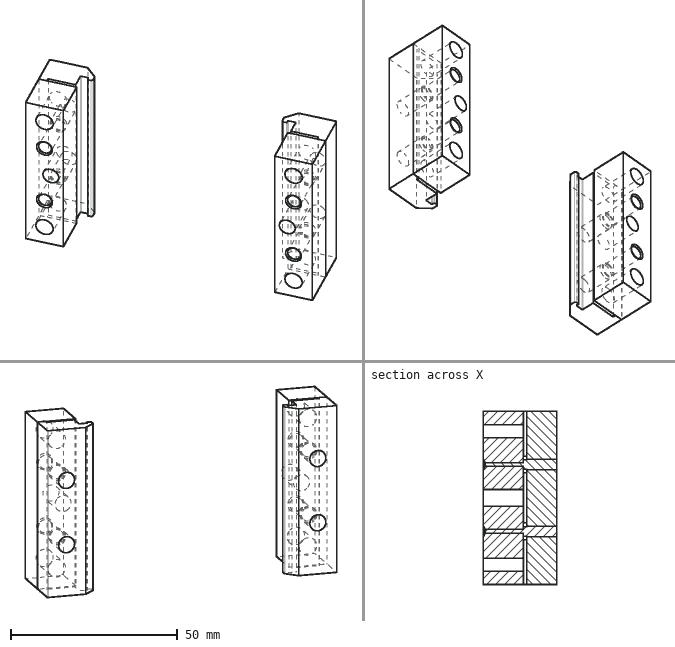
import cadquery as cq

SPAN = 91.0
LENGTH = 52.0

BLOCK_WIDTH = 12.0
BLOCK_DEPTH = 12.0
DOWEL_HOLE_DIA = 5.5
DOWEL_HOLE_RISE = 20.0
CENTRE_HOLE_DIA = 5.0
CENTRE_HOLE_SHIFT = 2.0

CLAMP_DEPTH = 10.0
CLAMP_REACH = 15.5
NECK_WIDTH = 11.4
FOOT_WIDTH = 2.6
GAP = 1.0
SLOT_ROOF_DEPTH = 4.55
LIP_DEPTH = 5.55
LIP_WIDTH = 1.55
LIP_ROUND = 0.55
EDGE_ROUND = 0.2

SHANK_DIA = 5.0
THREAD_DIA = 4.1
SCREW_RISE = 10.0

OUTER_X = -SPAN / 2
MID_X = OUTER_X + BLOCK_WIDTH / 2
JOINT_Y = BLOCK_DEPTH
BACK_Y = BLOCK_DEPTH + CLAMP_DEPTH
HALF_LENGTH = LENGTH / 2
COUNTERSINK_DEPTH = (SHANK_DIA - THREAD_DIA) / 2


def rod(diameter, x, z, y_start, y_end):
    """Cylinder parallel to Y."""
    axis_start = cq.Vector(x, y_start, z)
    solid = cq.Solid.makeCylinder(diameter / 2, y_end - y_start, axis_start, cq.Vector(0, 1, 0))
    return cq.Workplane(obj=solid)


def screw_countersink(z):
    """Cone opening from the thread diameter to the shank diameter at the block front."""
    mouth = cq.Vector(MID_X, 0, z)
    solid = cq.Solid.makeCone(SHANK_DIA / 2, THREAD_DIA / 2, COUNTERSINK_DEPTH, mouth, cq.Vector(0, 1, 0))
    return cq.Workplane(obj=solid)


def make_block():
    """Left block: square bar with two end holes, an offset middle hole and two countersunk screw holes."""
    block = cq.Workplane().box(BLOCK_WIDTH, BLOCK_DEPTH, LENGTH, centered=(False, False, True))
    block = block.translate((OUTER_X, 0, 0))
    for side in (-1, 1):
        block = block.cut(rod(DOWEL_HOLE_DIA, MID_X, side * DOWEL_HOLE_RISE, 0, JOINT_Y))
        block = block.cut(rod(THREAD_DIA, MID_X, side * SCREW_RISE, 0, JOINT_Y))
        block = block.cut(screw_countersink(side * SCREW_RISE))
    return block.cut(rod(CENTRE_HOLE_DIA, MID_X + CENTRE_HOLE_SHIFT, 0, 0, JOINT_Y))


def round_corners(bar, corners, radius):
    """Fillet the full-length edges of a bar that stand on the given XY corners."""
    for x, y in corners:
        bar = bar.edges(cq.NearestToPointSelector((x, y, 0))).fillet(radius)
    return bar


def make_clamp():
    """Left clamp, a hooked bar: foot on the block, neck above the gap, lip reaching inward."""
    foot_x = OUTER_X + FOOT_WIDTH
    neck_x = OUTER_X + NECK_WIDTH
    tip_x = OUTER_X + CLAMP_REACH
    lip_x = tip_x - LIP_WIDTH
    bevel = CLAMP_REACH - BLOCK_WIDTH
    neck_y = JOINT_Y + GAP
    lip_y = BACK_Y - LIP_DEPTH
    roof_y = BACK_Y - SLOT_ROOF_DEPTH
    profile = [
        (OUTER_X, JOINT_Y),
        (foot_x, JOINT_Y),
        (foot_x, neck_y),
        (neck_x, neck_y),
        (neck_x, roof_y),
        (lip_x, roof_y),
        (lip_x, lip_y),
        (tip_x, lip_y),
        (tip_x, BACK_Y - bevel),
        (tip_x - bevel, BACK_Y),
        (OUTER_X, BACK_Y),
    ]
    small_rounds = [
        (OUTER_X, JOINT_Y),
        (foot_x, JOINT_Y),
        (neck_x, roof_y),
        (lip_x, roof_y),
        (lip_x, lip_y),
        (OUTER_X, BACK_Y),
    ]
    lip_rounds = [(tip_x, lip_y), (tip_x, BACK_Y - bevel)]
    clamp = cq.Workplane().workplane(offset=-HALF_LENGTH).polyline(profile).close().extrude(LENGTH)
    clamp = round_corners(clamp, small_rounds, EDGE_ROUND)
    clamp = round_corners(clamp, lip_rounds, LIP_ROUND)
    for side in (-1, 1):
        clamp = clamp.cut(rod(SHANK_DIA, MID_X, side * SCREW_RISE, JOINT_Y, BACK_Y))
    return clamp


def make_screw(z):
    """Full shank through the clamp and the gap, thread core inside the block."""
    shank = rod(SHANK_DIA, MID_X, z, JOINT_Y, BACK_Y)
    thread = rod(THREAD_DIA, MID_X, z, COUNTERSINK_DEPTH, JOINT_Y)
    return shank.union(thread)


left_set = [make_block(), make_clamp()]
for screw_side in (-1, 1):
    left_set.append(make_screw(screw_side * SCREW_RISE))

right_set = [body.mirror("YZ") for body in left_set]

result = cq.Compound.makeCompound([body.val() for body in left_set + right_set])